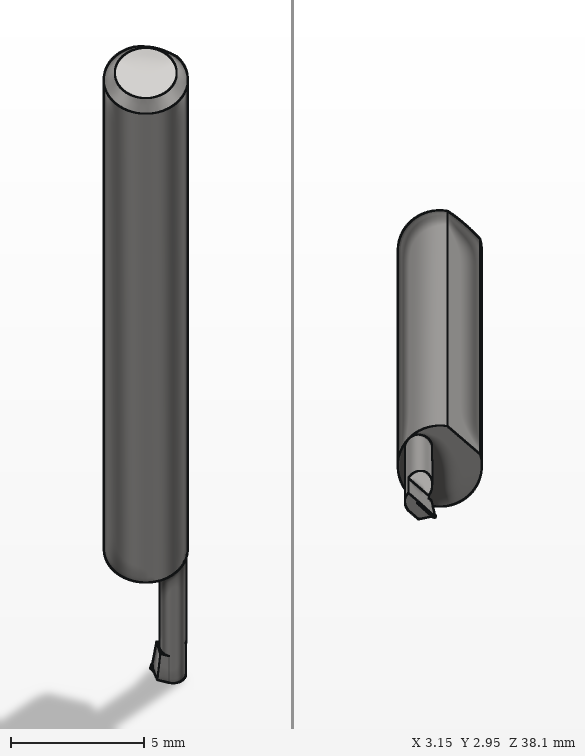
import cadquery as cq

total_length = 38.1
shank_diameter = 3.15
shank_radius = shank_diameter / 2
shank_bottom = 7.62
shank_chamfer = 0.42
depth_across_flat = 2.95
flat_offset = depth_across_flat - shank_radius

neck_diameter = 1.03
neck_radius = neck_diameter / 2
neck_x = shank_radius - neck_radius
neck_bottom = 0.1

rake_top = 2.17

head_top = 1.83
head_upper_edge_x = 0.42
head_lower_edge_x = 0.23
head_upper_heel_x = 0.72
head_lower_heel_x = 0.6

tip_x = 0.2
tip_bottom_x = 0.3
tip_height = 0.3
tip_thickness = 0.08


def make_shank():
    """Round shank with a chamfered top and a full-length flat on its +Y side."""
    shank = (
        cq.Workplane("XY", origin=(0, 0, shank_bottom))
        .circle(shank_radius)
        .extrude(total_length - shank_bottom)
        .faces(">Z")
        .chamfer(shank_chamfer)
    )
    beyond_flat = (
        cq.Workplane("XY")
        .box(shank_diameter, shank_radius, total_length, centered=(True, False, False))
        .translate((0, flat_offset, 0))
    )
    return shank.cut(beyond_flat)


def make_neck():
    """Thin neck with its lower end cut back to a flat rake face at Y = 0."""
    neck = (
        cq.Workplane("XY", origin=(neck_x, 0, neck_bottom))
        .circle(neck_radius)
        .extrude(shank_bottom - neck_bottom)
    )
    cut_depth = neck_diameter
    rake_cut = (
        cq.Workplane("YZ")
        .polyline([(0, 0), (cut_depth, 0), (cut_depth, rake_top + cut_depth), (0, rake_top)])
        .close()
        .extrude(shank_diameter)
    )
    return neck.cut(rake_cut)


def head_section(edge_x, heel_x):
    """Corners of a head section, from the cutting edge back to the neck."""
    return [
        (edge_x, 0),
        (heel_x, -neck_radius),
        (neck_x, -neck_radius),
        (neck_x, 0),
    ]


def make_head():
    """Tapered head with a relieved flank facing -X."""
    return (
        cq.Workplane("XY", origin=(0, 0, neck_bottom))
        .polyline(head_section(head_lower_edge_x, head_lower_heel_x))
        .close()
        .workplane(offset=head_top - neck_bottom)
        .polyline(head_section(head_upper_edge_x, head_upper_heel_x))
        .close()
        .loft(ruled=True)
    )


def make_tip():
    """Small pointed nib reaching past the lower corner of the head."""
    return (
        cq.Workplane("XZ")
        .polyline([
            (tip_x, neck_bottom),
            (tip_bottom_x, 0),
            (neck_x, neck_bottom),
            (neck_x, tip_height),
            (head_lower_edge_x, tip_height),
        ])
        .close()
        .extrude(tip_thickness)
    )


result = make_shank().union(make_neck()).union(make_head()).union(make_tip())